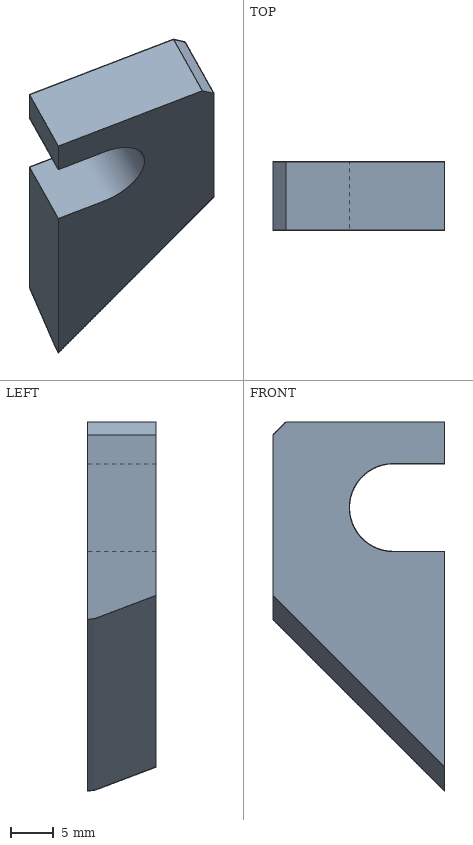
import cadquery as cq
import math

width = 20.0
thickness = 8.0
height = 43.0

corner_chamfer = 1.5

slot_width = 10.2
slot_center_x = 14.0
slot_center_below_top = 9.98

land_depth = 0.9
land_angle = 5.0
bevel_angle = 15.0
cut_margin = 8.6


def make_blank():
    """Plate with a 45 degree lower edge, its tip at Z = 0 on the +X side."""
    return (
        cq.Workplane("XZ")
        .moveTo(0, width)
        .lineTo(width, 0)
        .lineTo(width, height)
        .lineTo(corner_chamfer, height)
        .lineTo(0, height - corner_chamfer)
        .close()
        .extrude(thickness)
    )


def make_slot():
    radius = slot_width / 2
    center_z = height - slot_center_below_top
    return (
        cq.Workplane("XZ")
        .moveTo(width, center_z + radius)
        .lineTo(slot_center_x, center_z + radius)
        .threePointArc((slot_center_x - radius, center_z), (slot_center_x, center_z - radius))
        .lineTo(width, center_z - radius)
        .close()
        .extrude(thickness)
    )


def make_edge_cutter():
    """Wedge swept along the lower edge, leaving a narrow land and a steeper bevel."""
    land_rise = land_depth * math.tan(math.radians(land_angle))
    bevel_rise = (thickness - land_depth) * math.tan(math.radians(bevel_angle))
    edge_length = width * math.sqrt(2)
    section = cq.Plane(origin=(0, 0, width), xDir=(1, 0, 1), normal=(1, 0, -1))
    return (
        cq.Workplane(section)
        .moveTo(-cut_margin, 0)
        .lineTo(0, 0)
        .lineTo(land_rise, land_depth)
        .lineTo(land_rise + bevel_rise, thickness)
        .lineTo(-cut_margin, thickness)
        .close()
        .extrude(edge_length + 2 * cut_margin)
        .translate((-cut_margin / math.sqrt(2), 0, cut_margin / math.sqrt(2)))
    )


result = make_blank().cut(make_slot()).cut(make_edge_cutter())